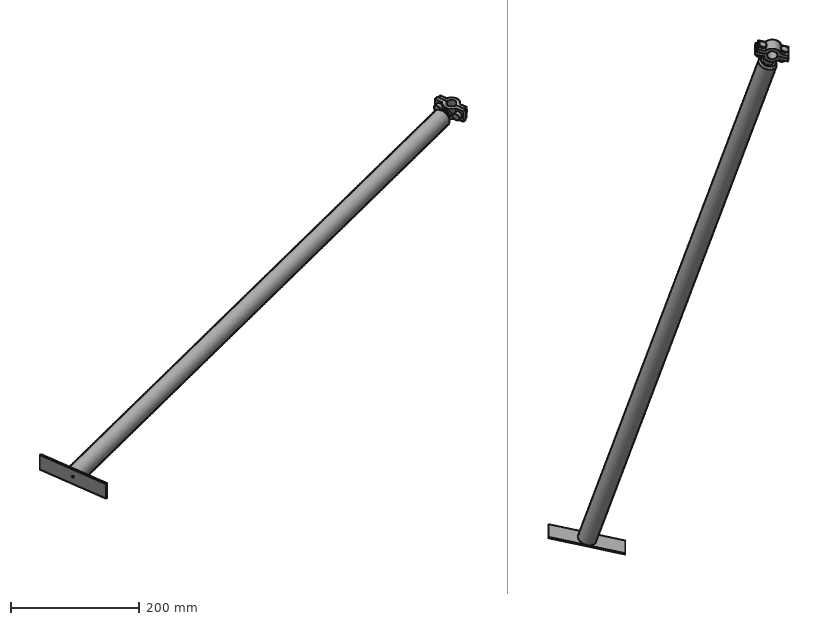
import cadquery as cq

total_length = 1074.0

plate_width = 125.0
plate_height = 30.0
plate_thickness = 3.0
plate_hole_diameter = 3.0

bar_radius = plate_height / 2
shoulder_start_y = 1033.0
shoulder_length = 3.0
neck_radius = 8.1
neck_end_y = 1043.0

clamp_height = 21.0
ring_outer_radius = 14.0
bore_radius = 8.1
flange_thickness = 6.0
base_flange_width = 54.0
cap_flange_width = 49.0
bore_y = total_length - ring_outer_radius

bolt_spacing = 35.0
bolt_positions = [-bolt_spacing / 2, bolt_spacing / 2]
bolt_head_radius = 6.2
bolt_head_height = 8.0
bolt_shank_radius = 3.0
bolt_end_height = 3.0


def y_cylinder(radius, start_y, end_y, x=0.0):
    """Solid cylinder along Y between two Y positions."""
    return (
        cq.Workplane("XZ", origin=(x, start_y, 0))
        .circle(radius)
        .extrude(start_y - end_y)
    )


def make_plate():
    """Rectangular foot plate with a small central through hole."""
    plate = cq.Workplane("XY").box(
        plate_width, plate_thickness, plate_height, centered=(True, False, True)
    )
    return plate.cut(y_cylinder(plate_hole_diameter / 2, 0, plate_thickness))


def make_bar():
    """Round bar along Y, with a tapered shoulder and a neck."""
    shoulder_end_y = shoulder_start_y + shoulder_length
    tube = y_cylinder(bar_radius, plate_thickness, shoulder_end_y)
    tube = tube.faces(">Y").chamfer(shoulder_length)
    return tube.union(y_cylinder(neck_radius, shoulder_end_y, neck_end_y))


def z_cylinder(radius):
    """Solid cylinder on the bore axis, as tall as the clamp."""
    return (
        cq.Workplane("XY", origin=(0, bore_y, -clamp_height / 2))
        .circle(radius)
        .extrude(clamp_height)
    )


def make_clamp_half(flange_width, side, bolts):
    """Half ring with two flanges; side is +1 beyond the bore axis and -1 before it.

    The half before the axis also has the stub that meets the bar's neck. Cutting the bolts out
    leaves their shank holes and seats their heads where they graze the ring.
    """
    half_space = cq.Workplane("XY", origin=(0, bore_y + side * ring_outer_radius / 2, 0)).box(
        2 * ring_outer_radius, ring_outer_radius, clamp_height
    )
    flange = cq.Workplane("XY", origin=(0, bore_y + side * flange_thickness / 2, 0)).box(
        flange_width, flange_thickness, clamp_height
    )
    half = z_cylinder(ring_outer_radius).intersect(half_space).union(flange)
    if side < 0:
        half = half.union(y_cylinder(neck_radius, neck_end_y, bore_y))
    half = half.cut(z_cylinder(bore_radius))
    for bolt in bolts:
        half = half.cut(bolt)
    return half


def make_bolt(x):
    """Headed bolt through both flanges, with a wide flat end on the far side."""
    near_y = bore_y - flange_thickness
    far_y = bore_y + flange_thickness
    head = y_cylinder(bolt_head_radius, near_y - bolt_head_height, near_y, x)
    shank = y_cylinder(bolt_shank_radius, near_y, far_y, x)
    end = y_cylinder(bolt_head_radius, far_y, far_y + bolt_end_height, x)
    return head.union(shank).union(end)


plate = make_plate()
bar = make_bar()
bolts = [make_bolt(x) for x in bolt_positions]
clamp_base = make_clamp_half(base_flange_width, -1, bolts)
clamp_cap = make_clamp_half(cap_flange_width, 1, bolts)

result = cq.Compound.makeCompound(
    [plate.val(), bar.val(), clamp_base.val(), clamp_cap.val(), *[bolt.val() for bolt in bolts]]
)